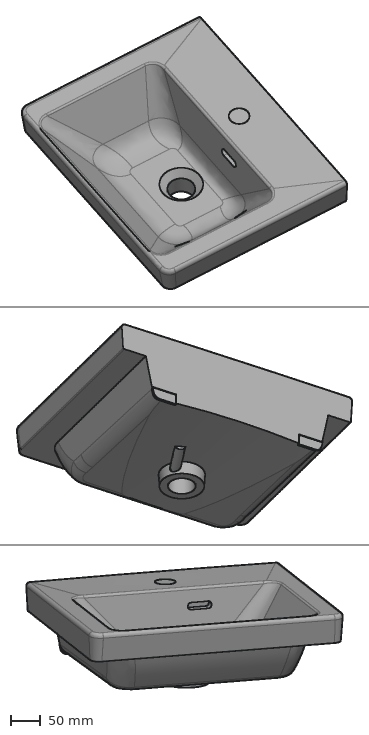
import cadquery as cq
import math


overall_depth = 372.01
total_height = 147.16

rim_width = 449.96
rim_depth = 370.0
rim_height = 51.0
rim_side_draft = 3.0
rim_front_draft = 7.0
rim_top_corner_radius = 20.0
rim_bottom_corner_radius = 16.0
rim_top_radius = 7.0
rim_bottom_radius = 2.0

deck_rise = 0.86
deck_back_half_width = 217.0
deck_front_half_width = 166.0
deck_depth = 109.8
tap_mark_diameter = 35.0
tap_mark_floor = 0.0
tap_y = -69.0

bowl_depth = 100.0
blend_depth = 75.0
blend_section_count = 6
mouth_side, mouth_back, mouth_front, mouth_radius = 185.0, -114.5, -361.0, 22.0
wall_side, wall_back, wall_front, wall_radius = 131.0, -128.0, -297.0, 38.0
floor_side, floor_back, floor_front, floor_radius = 77.0, -150.0, -245.0, 10.0
bowl_lip_radius = 5.0

body_top_half_width = 178.0
body_bottom_half_width = 162.0
body_back_bottom = -131.0
body_front_bottom = -124.0
body_top = -40.0
body_front_top = -340.0
body_front_middle = (-325.0, -82.0)
body_front_toe = -295.0
body_corner_radius = 40.0
body_bottom_radius = 23.0
arch_half_width = 155.0
arch_top = -123.0

foot_inner_x = 120.0
foot_corner_radius = 12.0
foot_top = -111.0
foot_protrusion = overall_depth - rim_depth

drain_y = -187.0
drain_diameter = 47.0
drain_seat_diameter = 74.0
drain_seat_depth = 12.0
drain_boss_top_radius = 40.0
drain_boss_bottom_radius = 38.0
drain_boss_bottom = deck_rise - total_height
drain_boss_root = -115.0

overflow_x = 45.0
overflow_z = -32.0
overflow_length = 42.0
overflow_height = 12.0
overflow_end_y = -105.0
duct_radius = 9.0
duct_start = cq.Vector(45.0, -114.0, -122.0)
duct_end = cq.Vector(26.0, -165.0, -133.0)

pick_margin = 1.0


def rim_outline(half_width, depth, r, z):
    """Rectangle against the wall with the two front corners rounded to radius r."""
    bend = r * (1 - math.sqrt(0.5))
    return (
        cq.Workplane("XY", origin=(0, 0, z))
        .moveTo(-half_width, 0)
        .lineTo(half_width, 0)
        .lineTo(half_width, r - depth)
        .threePointArc((half_width - bend, bend - depth), (half_width - r, -depth))
        .lineTo(r - half_width, -depth)
        .threePointArc((bend - half_width, bend - depth), (-half_width, r - depth))
        .close()
        .val()
    )


def rounding_loss(draft):
    """How far rounding the top edge of a drafted rim wall pulls in its widest point."""
    angle = math.atan(draft / rim_height)
    return rim_top_radius * (math.tan(angle) + 1 / math.cos(angle) - 1)


def make_rim():
    half_width = rim_width / 2 + rounding_loss(rim_side_draft)
    depth = rim_depth + rounding_loss(rim_front_draft)
    top = rim_outline(half_width, depth, rim_top_corner_radius, 0)
    bottom = rim_outline(
        half_width - rim_side_draft,
        depth - rim_front_draft,
        rim_bottom_corner_radius,
        -rim_height,
    )
    rim = cq.Workplane(cq.Solid.makeLoft([top, bottom], True))
    rim = rim.faces(">Z").edges("not >Y").fillet(rim_top_radius)
    return rim.faces("<Z").edges("not >Y").fillet(rim_bottom_radius)


def make_deck():
    """Shallow crown, arched along the wall and running out to a straight line at the bowl."""
    back_left = cq.Vector(-deck_back_half_width, 0, 0)
    back_right = cq.Vector(deck_back_half_width, 0, 0)
    front_right = cq.Vector(deck_front_half_width, -deck_depth, 0)
    front_left = cq.Vector(-deck_front_half_width, -deck_depth, 0)
    crown = cq.Edge.makeThreePointArc(back_left, cq.Vector(0, 0, deck_rise), back_right)
    front = cq.Edge.makeLine(front_left, front_right)
    back = cq.Edge.makeLine(back_right, back_left)
    base = cq.Wire.makePolygon([back_left, back_right, front_right, front_left], close=True)
    faces = [
        cq.Face.makeRuledSurface(crown, front),
        cq.Face.makeFromWires(base),
        cq.Face.makeFromWires(cq.Wire.assembleEdges([crown, back])),
    ]
    return cq.Workplane(cq.Solid.makeSolid(cq.Shell.makeShell(faces)))


def body_half_width_at(z):
    """Half width between the tapered sides of the body at height z."""
    slope = (body_top_half_width - body_bottom_half_width) / (-rim_height - body_back_bottom)
    return body_top_half_width + slope * (z + rim_height)


def make_body():
    """Side silhouette crossed with the tapered front silhouette, then rounded."""
    side = (
        cq.Workplane("YZ", origin=(-rim_width / 2, 0, 0))
        .moveTo(0, body_top)
        .lineTo(0, body_back_bottom)
        .lineTo(body_front_toe, body_front_bottom)
        .threePointArc(body_front_middle, (body_front_top, body_top))
        .close()
        .extrude(rim_width)
    )
    top_half_width = body_half_width_at(body_top)
    front = (
        cq.Workplane("XZ")
        .polyline([
            (-top_half_width, body_top),
            (top_half_width, body_top),
            (body_bottom_half_width, body_back_bottom),
            (-body_bottom_half_width, body_back_bottom),
        ])
        .close()
        .extrude(rim_depth)
    )
    body = side.intersect(front)
    front_corners = cq.selectors.BoxSelector(
        (-rim_width / 2, -rim_depth, -total_height),
        (rim_width / 2, body_front_toe + pick_margin, 0),
    )
    body = body.edges(front_corners).edges("not |X").fillet(body_corner_radius)
    body = body.faces("<Z").edges("not >Y").fillet(body_bottom_radius)
    return body.cut(make_arch())


def make_arch():
    """Shallow arched hollow running from the wall along the underside."""
    return (
        cq.Workplane("XZ")
        .moveTo(-arch_half_width, body_back_bottom)
        .threePointArc((0, arch_top), (arch_half_width, body_back_bottom))
        .close()
        .extrude(rim_depth)
    )


def make_feet():
    """Two pads on the wall side, one at each lower back corner."""
    foot = (
        cq.Workplane("XZ", origin=(0, foot_protrusion, 0))
        .moveTo(foot_inner_x, foot_top)
        .lineTo(body_half_width_at(foot_top), foot_top)
        .lineTo(body_bottom_half_width, body_back_bottom)
        .lineTo(foot_inner_x, body_back_bottom)
        .close()
        .extrude(2 * foot_protrusion)
        .faces("<Z")
        .edges(">X")
        .fillet(foot_corner_radius)
    )
    return foot.union(foot.mirror("YZ"))


def bowl_section(section, z):
    """Rounded rectangle wire at height z, cut across the bowl."""
    side, back, front, radius = section
    rounded = cq.Sketch().rect(2 * side, back - front).vertices().fillet(radius)
    outline = rounded.reset().wires().val()
    place = cq.Location(cq.Vector(0, (back + front) / 2, z))
    return outline.moved(place)


def blend_between(start, corner, end, t):
    """Point on the quadratic curve that leaves start and reaches end, both aimed at corner."""
    return (1 - t) ** 2 * start + 2 * t * (1 - t) * corner + t**2 * end


def make_bowl():
    mouth = (mouth_side, mouth_back, mouth_front, mouth_radius)
    wall = (wall_side, wall_back, wall_front, wall_radius)
    floor = (floor_side, floor_back, floor_front, floor_radius)
    reach = bowl_depth / blend_depth
    corner = [m + reach * (w - m) for m, w in zip(mouth, wall)]

    walls = cq.Solid.makeLoft([bowl_section(mouth, 0), bowl_section(wall, -blend_depth)], True)
    sections = []
    for i in range(blend_section_count + 1):
        t = i / blend_section_count
        section = [blend_between(a, b, c, t) for a, b, c in zip(wall, corner, floor)]
        z = blend_between(-blend_depth, -bowl_depth, -bowl_depth, t)
        sections.append(bowl_section(section, z))
    blend = cq.Solid.makeLoft(sections)
    return cq.Workplane(walls).union(cq.Workplane(blend))


def make_drain_boss():
    height = drain_boss_root - drain_boss_bottom
    boss = cq.Solid.makeCone(
        drain_boss_bottom_radius, drain_boss_top_radius, height, cq.Vector(0, drain_y, drain_boss_bottom)
    )
    return cq.Workplane(boss)


def make_overflow_duct():
    """Outside of the overflow passage where it runs down into the drain boss."""
    run = duct_end - duct_start
    return cq.Workplane(cq.Solid.makeCylinder(duct_radius, run.Length, duct_start, run))


def make_drain_hole():
    """Through hole with a conical seat sunk into the bowl floor."""
    hole_radius = drain_diameter / 2
    return (
        cq.Workplane("XZ", origin=(0, drain_y, 0))
        .polyline([
            (0, -total_height),
            (hole_radius, -total_height),
            (hole_radius, -bowl_depth - drain_seat_depth),
            (drain_seat_diameter / 2, -bowl_depth),
            (0, -bowl_depth),
        ])
        .close()
        .revolve(360, (0, 0), (0, 1))
    )


def make_overflow_slot():
    """Rounded slot through the back wall of the bowl into a blind pocket."""
    return (
        cq.Workplane("XZ", origin=(overflow_x, overflow_end_y, overflow_z))
        .slot2D(overflow_length, overflow_height)
        .extrude(overflow_end_y - wall_back)
    )


def make_tap_mark():
    """Shallow knock-out mark for the tap hole."""
    return (
        cq.Workplane("XY", origin=(0, tap_y, tap_mark_floor))
        .circle(tap_mark_diameter / 2)
        .extrude(deck_rise)
    )


basin = make_rim().union(make_deck()).union(make_body()).union(make_feet())
basin = basin.union(make_drain_boss()).union(make_overflow_duct())
basin = basin.cut(make_bowl())
mouth_edges = cq.selectors.BoxSelector(
    (-mouth_side - pick_margin, mouth_front - pick_margin, -pick_margin),
    (mouth_side + pick_margin, mouth_back + pick_margin, pick_margin),
)
basin = basin.edges(mouth_edges).fillet(bowl_lip_radius)
result = basin.cut(make_drain_hole()).cut(make_overflow_slot()).cut(make_tap_mark())